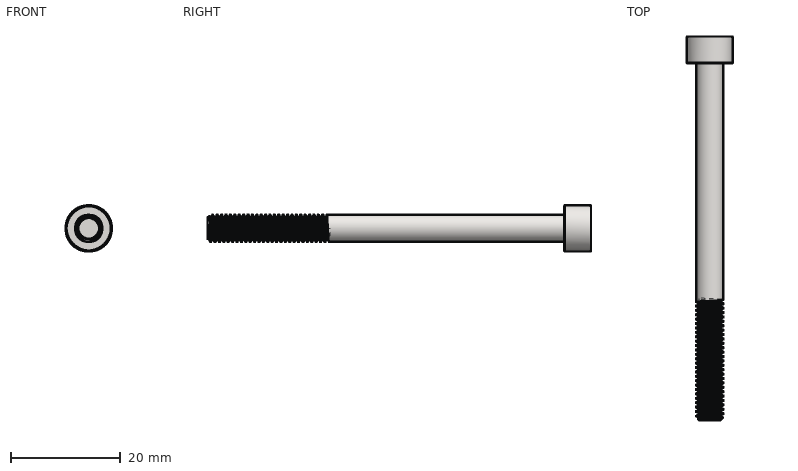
import cadquery as cq

total_length = 70
head_diameter = 8.5
head_height = 5.0
head_top_fillet = 0.3
head_bottom_chamfer = 0.2
shank_diameter = 5.0
tip_diameter = 3.8
thread_length = 22.05
thread_turns = 27.5
thread_pitch = thread_length / thread_turns
thread_depth = 0.55
crest_width = thread_pitch / 8
root_width = thread_pitch / 4
cutter_overlap = 0.1

shank_radius = shank_diameter / 2
tip_chamfer = (shank_diameter - tip_diameter) / 2


def make_blank():
    """Head and shank standing on the tip, along +Z."""
    shank = cq.Workplane("XY").circle(shank_radius).extrude(total_length)
    shank = shank.faces("<Z").chamfer(tip_chamfer)
    head = (
        cq.Workplane("XY")
        .workplane(offset=total_length - head_height)
        .circle(head_diameter / 2)
        .extrude(head_height)
    )
    head = head.faces("<Z").edges().chamfer(head_bottom_chamfer)
    head = head.faces(">Z").edges().fillet(head_top_fillet)
    return shank.union(head)


def make_thread_cutter():
    """Right-hand helical groove with sloping flanks that starts one pitch below the tip."""
    start = -thread_pitch
    root_radius = shank_radius - thread_depth
    half_root = root_width / 2
    half_mouth = (thread_pitch - crest_width) / 2
    flank_slope = (half_mouth - half_root) / thread_depth
    half_outer = half_mouth + flank_slope * cutter_overlap
    helix = cq.Wire.makeHelix(thread_pitch, thread_length - start, shank_radius)
    path = cq.Workplane(helix.translate(cq.Vector(0, 0, start)))
    groove = cq.Workplane("XZ").polyline(
        [
            (root_radius, start - half_root),
            (shank_radius + cutter_overlap, start - half_outer),
            (shank_radius + cutter_overlap, start + half_outer),
            (root_radius, start + half_root),
        ]
    ).close()
    return groove.sweep(path, isFrenet=True)


screw = make_blank().cut(make_thread_cutter())
result = screw.rotate((0, 0, 0), (1, 0, 0), -90).translate((0, -total_length / 2, 0))